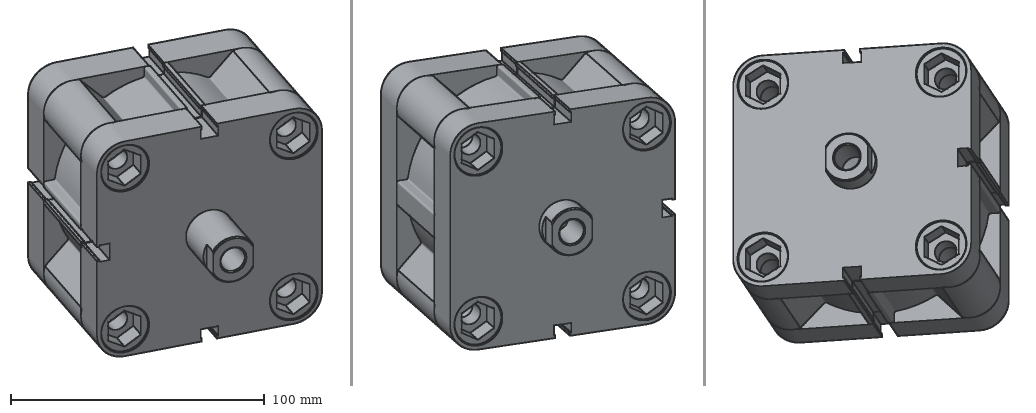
import cadquery as cq
import math


side = 96.0
cap_thickness = 16.6
barrel_length = 38.7
body_length = barrel_length + 2 * cap_thickness
rod_length = 106.5
rear_overhang = 9.8
half_side = side / 2
corner_radius = 12.0
corner_center = half_side - corner_radius

rod_diameter = 20.0
rod_end_chamfer = 0.5
flat_width = 17.0
flat_length = 6.7
rod_hole_diameter = 10.2
rod_hole_depth = 16.0
rod_hole_mouth_diameter = 11.3
drill_point_angle = 118.0

screw_bore_diameter = 8.7
hex_across_flats = 14.0
hex_depth = 8.0
hex_turn = 30
seat_diameter = 20.6
seat_floor_diameter = 19.8
seat_depth = 0.5

tube_radius = 43.7
lobe_width = 21.1
lobe_root_fillet = 1.0
rib_width = 10.5
rib_edge_radius = 0.9

slot_mouth_width = 5.5
slot_inner_width = 6.5
slot_lip = 1.5
slot_depth = 5.0
slot_clearance = 0.4
slot_angles = (0, 90, 180)
side_angles = (0, 90, 180, 270)

screw_points = [
    (y, z)
    for y in (-corner_center, corner_center)
    for z in (-corner_center, corner_center)
]


def section_at(x):
    """Sketch plane across the axis: local x is +Y, local y is +Z, extrusion runs to +X."""
    return cq.Workplane("YZ", origin=(x, 0, 0))


def turned(shape, angle):
    return shape.rotate((0, 0, 0), (1, 0, 0), angle)


def rounded_square(x, length):
    block = section_at(x).rect(side, side).extrude(length)
    return block.edges("|X").fillet(corner_radius)


def rod_bore():
    return section_at(0).circle(rod_diameter / 2).extrude(body_length)


def screw_bores():
    return section_at(0).pushPoints(screw_points).circle(screw_bore_diameter / 2).extrude(body_length)


def sensor_slot(x, length, mouth_width, inner_width, lip, depth):
    """T-slot cutter on the +Z side."""
    mouth = section_at(x).center(0, half_side - depth / 2).rect(mouth_width, depth).extrude(length)
    inner_height = depth - lip
    inner_center = half_side - lip - inner_height / 2
    inner = section_at(x).center(0, inner_center).rect(inner_width, inner_height).extrude(length)
    return mouth.union(inner)


def make_cap():
    """Rear cap, with its outer face at x = 0."""
    cap = rounded_square(0, cap_thickness)
    slot = sensor_slot(
        0,
        cap_thickness,
        slot_mouth_width + 2 * slot_clearance,
        slot_inner_width + 2 * slot_clearance,
        slot_lip - slot_clearance / 2,
        slot_depth + slot_clearance,
    )
    for angle in slot_angles:
        cap = cap.cut(turned(slot, angle))

    seat = section_at(0).circle(seat_diameter / 2)
    seat = seat.workplane(offset=seat_depth).circle(seat_floor_diameter / 2).loft()
    hex_across_corners = hex_across_flats / math.cos(math.pi / 6)
    socket = section_at(seat_depth).polygon(6, hex_across_corners).extrude(hex_depth)
    seat = seat.union(turned(socket, hex_turn))
    for y, z in screw_points:
        cap = cap.cut(seat.translate((0, y, z)))
    return cap.cut(screw_bores()).cut(rod_bore())


def fillet_mirrored_edges(body, x, far, near, radius):
    """Round the eight X edges that lie at (far, near) and (near, far) in every quadrant."""
    for y, z in ((far, near), (near, far)):
        for y_sign in (-1, 1):
            for z_sign in (-1, 1):
                edge_point = (x, y_sign * y, z_sign * z)
                body = body.edges(cq.NearestToPointSelector(edge_point)).fillet(radius)
    return body


def make_barrel():
    start = cap_thickness

    round_ends = section_at(start).pushPoints(screw_points).circle(corner_radius).extrude(barrel_length)
    center_distance = 2 * math.sqrt(2) * corner_center
    bar = section_at(start).rect(center_distance, lobe_width).extrude(barrel_length)
    end_trim = section_at(start).rect(2 * side, lobe_width).extrude(barrel_length)
    barrel = section_at(start).circle(tube_radius).extrude(barrel_length)
    for angle in (-45, 45):
        barrel = barrel.union(turned(bar, angle))
        barrel = barrel.union(round_ends.intersect(turned(end_trim, angle)))

    offset = lobe_width / 2
    reach = math.sqrt(tube_radius ** 2 - offset ** 2)
    root_far = (reach + offset) / math.sqrt(2)
    root_near = (reach - offset) / math.sqrt(2)
    middle = start + barrel_length / 2
    barrel = fillet_mirrored_edges(barrel, middle, root_far, root_near, lobe_root_fillet)

    rib = section_at(start).center(0, half_side / 2).rect(rib_width, half_side).extrude(barrel_length)
    rib = rib.edges("|X and >Z").fillet(rib_edge_radius)
    for angle in side_angles:
        barrel = barrel.union(turned(rib, angle))
    foot = math.sqrt(tube_radius ** 2 - (rib_width / 2) ** 2)
    barrel = fillet_mirrored_edges(barrel, middle, foot, rib_width / 2, rib_edge_radius)

    slot = sensor_slot(start, barrel_length, slot_mouth_width, slot_inner_width, slot_lip, slot_depth)
    for angle in slot_angles:
        barrel = barrel.cut(turned(slot, angle))
    return barrel.cut(screw_bores()).cut(rod_bore())


def make_rod():
    start = -rear_overhang
    middle = start + rod_length / 2
    rod = section_at(start).circle(rod_diameter / 2).extrude(rod_length)
    rod = rod.edges("%CIRCLE").chamfer(rod_end_chamfer)

    flats = section_at(start).rect(2 * rod_diameter, rod_diameter).rect(flat_width, rod_diameter)
    flats = flats.extrude(flat_length)
    hole_radius = rod_hole_diameter / 2
    mouth_radius = rod_hole_mouth_diameter / 2
    point_length = hole_radius / math.tan(math.radians(drill_point_angle / 2))
    hole = (
        cq.Workplane("XY")
        .moveTo(start, 0)
        .lineTo(start, mouth_radius)
        .lineTo(start + mouth_radius - hole_radius, hole_radius)
        .lineTo(start + rod_hole_depth, hole_radius)
        .lineTo(start + rod_hole_depth + point_length, 0)
        .close()
        .revolve(360, (0, 0, 0), (1, 0, 0))
    )
    for end in (flats, hole):
        rod = rod.cut(end).cut(end.mirror("YZ", (middle, 0, 0)))
    return rod


rear_cap = make_cap()
front_cap = rear_cap.mirror("YZ", (body_length / 2, 0, 0))
barrel = make_barrel()
rod = make_rod()

result = cq.Compound.makeCompound([rear_cap.val(), barrel.val(), front_cap.val(), rod.val()])